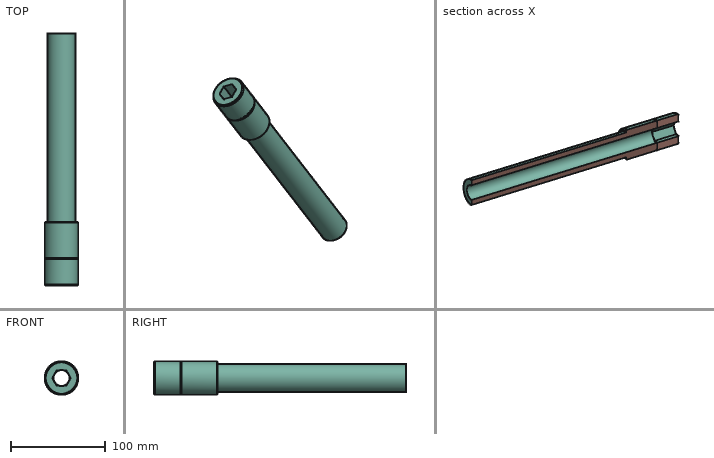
import cadquery as cq
import math

total_length = 268.0
outer_diameter = 36.0
drive_face = -total_length / 2
tail_face = total_length / 2

head_length = 28.1
hex_across_flats = 17.0
hex_corner_diameter = hex_across_flats / math.cos(math.pi / 6)

collar_length = 40.0
tube_diameter = 30.0
bore_diameter = hex_across_flats
edge_chamfer = 1.3

outer_radius = outer_diameter / 2
tube_radius = tube_diameter / 2
joint_face = drive_face + head_length
shoulder_face = joint_face + collar_length


def drive_plane(y):
    """Plane across the axis at y, with its normal pointing toward +Y."""
    return cq.Plane(origin=(0, y, 0), xDir=(1, 0, 0), normal=(0, 1, 0))


def make_drive_head():
    """Round head with a chamfered drive face and a hexagon socket right through it."""
    head = cq.Workplane(drive_plane(drive_face)).circle(outer_radius).extrude(head_length)
    head = head.faces("<Y").edges().chamfer(edge_chamfer)
    socket = cq.Workplane(drive_plane(drive_face)).polygon(6, hex_corner_diameter).extrude(head_length)
    return head.cut(socket)


def make_sleeve():
    """Long tube with a collar, chamfered at both ends, that meets the head."""
    collar = cq.Workplane(drive_plane(joint_face)).circle(outer_radius).extrude(collar_length)
    collar = collar.edges().chamfer(edge_chamfer)
    tube = cq.Workplane(drive_plane(shoulder_face)).circle(tube_radius).extrude(tail_face - shoulder_face)
    bore = cq.Workplane(drive_plane(joint_face)).circle(bore_diameter / 2).extrude(tail_face - joint_face)
    return collar.union(tube).cut(bore)


drive_head = make_drive_head()
sleeve = make_sleeve()
result = cq.Compound.makeCompound([drive_head.val(), sleeve.val()])